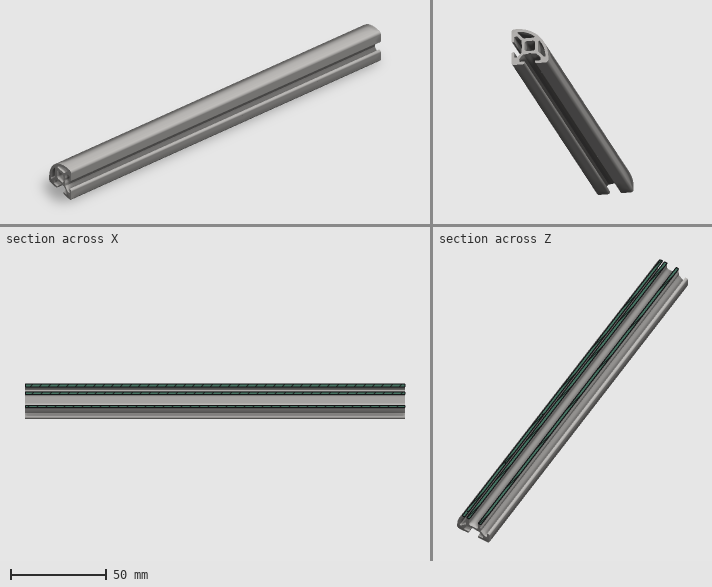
import cadquery as cq
import math

LENGTH = 200.0
SIDE = 20.0
OUTER_RADIUS = 17.0
SHELL = 1.5
CORNER_RADIUS = 1.5
CORE_SIDE = 9.0
BORE_SIDE = 5.5
WEB = 1.5
SLOT_OPENING = 5.5
SLOT_WIDTH = 11.5
LIP = 1.5
LIP_RADIUS = 1.0
SLOT_CORNER_RADIUS = 0.3
GROOVE_WIDTH = 3.5
GROOVE_FLOOR = 0.5
GROOVE_DEPTH = 0.5
BORE_RADIUS = 1.1
POCKET_RADIUS = 0.5

HALF = SIDE / 2
CORE_HALF = CORE_SIDE / 2
ARC_CENTER = OUTER_RADIUS - HALF
WEB_OFFSET = WEB / math.sqrt(2)


def section():
    """Sketch plane at the -Y end, with local axes along X and Z."""
    return cq.Workplane("XZ", origin=(0, -LENGTH / 2, 0))


def extrude(outline):
    """Run a closed outline along the whole part, toward +Y."""
    return outline.close().extrude(-LENGTH)


def mirrored(solid):
    """Reflect across the diagonal of the section, swapping the +X and -Z sides."""
    return solid.mirror("YZ").rotate((0, 0, 0), (0, 1, 0), -90)


def arc_point(radius, angle):
    """Point on a circle about the centre of the rounded face, at an angle in radians."""
    return (
        ARC_CENTER + radius * math.cos(angle),
        -ARC_CENTER + radius * math.sin(angle),
    )


def round_edges(solid, corners, radius):
    """Fillet the lengthwise edges that pass through the given (x, z) corners."""
    for x, z in corners:
        solid = solid.edges(cq.selectors.NearestToPointSelector((x, 0, z))).fillet(radius)
    return solid


def body():
    """Square bar whose upper left corner is replaced by the large arc."""
    outline = (
        section()
        .moveTo(-HALF, -HALF)
        .lineTo(HALF, -HALF)
        .lineTo(HALF, HALF)
        .lineTo(ARC_CENTER, HALF)
        .threePointArc(arc_point(OUTER_RADIUS, 0.75 * math.pi), (-HALF, -ARC_CENTER))
    )
    return round_edges(extrude(outline), [(-HALF, -HALF), (HALF, -HALF), (HALF, HALF)], CORNER_RADIUS)


def slot():
    """T-slot open to +X, narrowing between the webs down to a grooved floor."""
    lip_inside = HALF - LIP
    side = SLOT_WIDTH / 2
    opening = SLOT_OPENING / 2
    mouth = opening + LIP_RADIUS
    lip_rise = LIP_RADIUS * (1 - math.sqrt(0.5))
    lip_middle = (HALF - lip_rise, opening + lip_rise)
    upper = [
        (HALF - LIP_RADIUS, opening),
        (lip_inside, opening),
        (lip_inside, side),
        (side + WEB_OFFSET, side),
        (CORE_HALF, CORE_HALF - WEB_OFFSET),
        (CORE_HALF, GROOVE_WIDTH / 2),
        (CORE_HALF - GROOVE_DEPTH, GROOVE_FLOOR / 2),
    ]
    lower = [(x, -z) for x, z in reversed(upper)]
    outline = (
        section()
        .moveTo(HALF, mouth)
        .threePointArc(lip_middle, upper[0])
        .polyline(upper[1:] + lower, includeCurrent=True)
        .threePointArc((lip_middle[0], -lip_middle[1]), (HALF, -mouth))
    )
    return round_edges(extrude(outline), [(lip_inside, side), (lip_inside, -side)], SLOT_CORNER_RADIUS)


def pocket():
    """Hollow between the curved wall, the top of the core and the upper web."""
    radius = OUTER_RADIUS - SHELL
    core_angle = math.pi - math.asin((CORE_HALF + ARC_CENTER) / radius)
    rise = 2 * ARC_CENTER + WEB_OFFSET
    web_angle = math.pi / 4 + math.asin(rise / (math.sqrt(2) * radius))
    outline = (
        section()
        .moveTo(*arc_point(radius, core_angle))
        .lineTo(CORE_HALF - WEB_OFFSET, CORE_HALF)
        .lineTo(*arc_point(radius, web_angle))
        .threePointArc(
            arc_point(radius, (core_angle + web_angle) / 2), arc_point(radius, core_angle)
        )
    )
    return extrude(outline).edges("|Y").fillet(POCKET_RADIUS)


def bore():
    """Square bore with rounded corners through the middle of the core."""
    return section().rect(BORE_SIDE, BORE_SIDE).extrude(-LENGTH).edges("|Y").fillet(BORE_RADIUS)


result = body().cut(bore())
for hollow in (slot(), pocket()):
    result = result.cut(hollow).cut(mirrored(hollow))